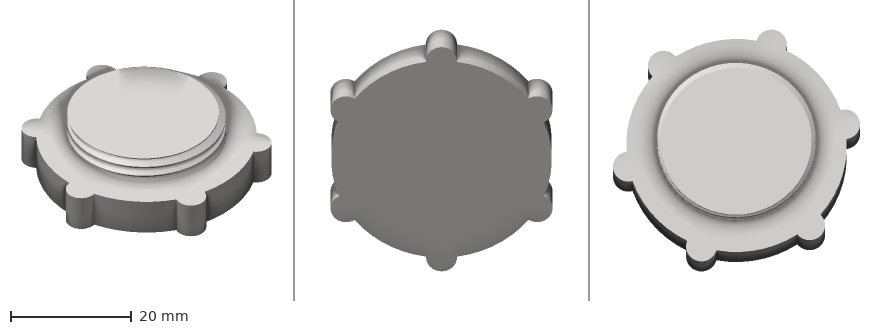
import cadquery as cq
import math

overall_height = 11.1
flange_height = 6.4
flange_radius = 18.32
lobe_count = 6
lobe_radius = 2.55
first_lobe_angle = 20.8

core_radius = 24.1 / 2
crest_radius = 13.15
thread_pitch = 1.8
ridge_base_width = 1.53
crest_width = 0.12
root_overlap = 0.1
core_seam_angle = 100
plug_height = overall_height - flange_height


def make_flange():
    flange = cq.Workplane("XY").circle(flange_radius).extrude(flange_height)
    for index in range(lobe_count):
        angle = math.radians(first_lobe_angle + index * 360 / lobe_count)
        lobe = (
            cq.Workplane("XY")
            .center(flange_radius * math.cos(angle), flange_radius * math.sin(angle))
            .circle(lobe_radius)
            .extrude(flange_height)
        )
        flange = flange.union(lobe)
    return flange


def make_threaded_plug():
    """Core with a helical ridge whose crest meets the flange face on +X, trimmed flush at both ends."""
    start_z = flange_height - thread_pitch
    ridge_length = plug_height + 2 * thread_pitch
    helix = cq.Wire.makeHelix(thread_pitch, ridge_length, core_radius).translate(cq.Vector(0, 0, start_z))

    crest_half = crest_width / 2
    flank_slope = (ridge_base_width / 2 - crest_half) / (crest_radius - core_radius)
    inner_radius = core_radius - root_overlap
    inner_half = crest_half + flank_slope * (crest_radius - inner_radius)
    ridge = (
        cq.Workplane("XZ")
        .moveTo(inner_radius, start_z - inner_half)
        .lineTo(crest_radius, start_z - crest_half)
        .lineTo(crest_radius, start_z + crest_half)
        .lineTo(inner_radius, start_z + inner_half)
        .close()
        .sweep(cq.Workplane(obj=helix), isFrenet=True)
    )

    core = cq.Workplane("XY").circle(core_radius).extrude(overall_height)
    core = core.rotate((0, 0, 0), (0, 0, 1), core_seam_angle)
    trim_size = 2 * flange_radius
    plug_slab = (
        cq.Workplane("XY")
        .workplane(offset=flange_height)
        .rect(trim_size, trim_size)
        .extrude(plug_height)
    )
    return ridge.intersect(plug_slab).union(core)


result = make_flange().union(make_threaded_plug())